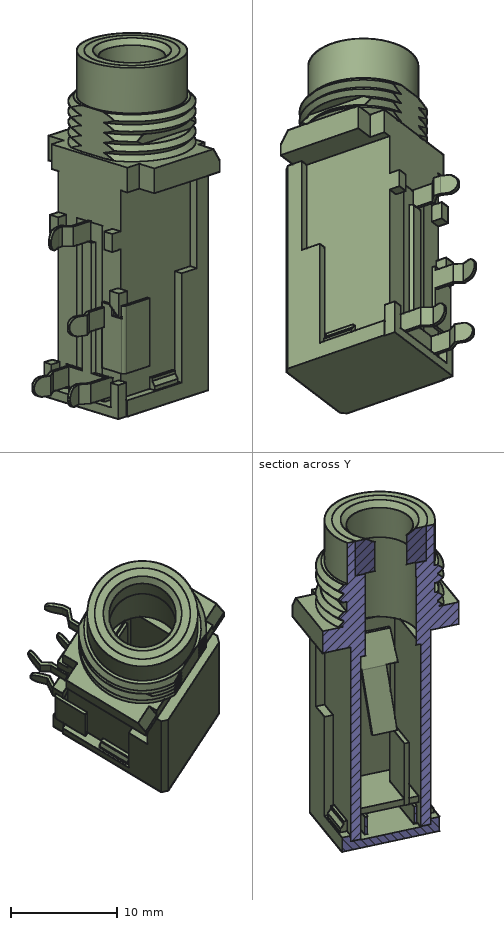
import cadquery as cq


total_height = 33.85
barrel_radius = 5.2
thread_top = 29.35
thread_crest_radius = 6.03
thread_root_radius = 5.52
crest_span = 4.0
pitches = 4
thread_pitch = crest_span / pitches
first_crest_rise = 0.07
thread_flat = 5.3
side_notch_bottom = 26.37
side_notch_top = 27.35
side_notch_half_width = 4.55
bushing_radius = 4.5
bushing_bottom = 30.05
bore_radius = 3.15
bore_chamfer = 0.55
throat_radius = 3.72

flange_bottom = 22.27
flange_top = 24.75
overall_width = 13.9
ear_half_width = overall_width / 2
ear_front = -4.13
ear_chamfer_depth = 0.85
ear_chamfer_height = 1.32

front_face = -5.75
housing_back = 4.7
housing_half_width = 4.1
cover_half_width = 4.98
overall_depth = 16.8
cover_back = 5.7
cover_corner = 0.47
floor_top = 0.95
ledge_top = 1.62
wing_step = 12.5
wing_front_high = 3.65
wing_front_low = 1.6

frame_front = -6.87
frame_half_width = 4.87
frame_top = 3.4
frame_opening = 3.9

chamber_half_width = 3.05
chamber_front = -3.2
chamber_back = 3.55
shelf_thickness = 0.68
shelf_front = -2.25
shelf_top = frame_top + shelf_thickness
chamber_top = 21.0

slot_half_width = 1.7
slot_depth = 0.6
slot_top = 18.2
ridge_front = -6.13
ridge_top = 16.35
ridge_half_width = 0.58
ridge_foot_half_width = 0.8
block_half_width = 2.35

pad_inner = 3.0
pad_bottom = 16.42
stop_inner = 3.75
stop_side_bottom = 10.1
stop_bottom = 11.07
peg_radius = 0.4
peg_x = (frame_opening + chamber_half_width) / 2
peg_z = 2.05
peg_length = 0.2
latch_front = -1.83
latch_back = 1.3
latch_top = 2.78
latch_upper = 2.47
latch_lower = 2.03
latch_lip = 0.35
latch_reach = 0.68

sheet = 0.3
blade_height = 1.95
tip_length = 0.78
tip_y = -10.95
plate_left = 2.4
plate_blade_x = plate_left + sheet / 2
lower_blade_x = 2.5
lower_blade_bottom = 1.4
lower_bends = [(-lower_blade_x, -8.25), (-1.85, -9.27)]
middle_bends = [(0, -8.0), (-0.78, -8.7), (-0.75, -9.3)]
plate_bends = [(plate_blade_x, -8.55), (3.05, -9.38)]
lower_tip_x = -2.37
middle_tip_x = -0.15
plate_tip_x = 2.45
middle_blade_bottom = ridge_top
plate_blade_bottom = 8.55
plate_tip_y = cover_back - overall_depth
plate_front = -6.53
plate_bottom = 4.47
plate_top = 10.97
side_leg_top = 11.2
side_leg_back = -3.05
plate_notch_x = 3.7
plate_notch_bottom = 9.92
middle_spring_half_width = 2.03
middle_spring_bottom = 4.75
middle_spring_top = 20.3

spring_half_width = 2.45
finger_half_width = 1.25
spring_top = 19.63
shoulder_y = 1.35
shoulder_z = 16.92
finger_y = -1.3
finger_z = 11.17

arm_back = 1.35
arm_left = 1.6
arm_right = 2.05
arm_top = 10.15


def box(x0, x1, y0, y1, z0, z1):
    """Box between two limits along each axis."""
    return cq.Workplane("XY").box(x1 - x0, y1 - y0, z1 - z0, centered=False).translate((x0, y0, z0))


def cylinder(radius, z0, z1):
    """Upright cylinder on the plug axis."""
    return cq.Workplane("XY").workplane(offset=z0).circle(radius).extrude(z1 - z0)


def extrude_x(points, x0, x1):
    """Outline of (y, z) points extruded from x0 to x1."""
    return cq.Workplane("YZ").workplane(offset=x0).polyline(points).close().extrude(x1 - x0)


def extrude_y(points, y0, y1):
    """Outline of (x, z) points extruded from y0 to y1."""
    return cq.Workplane("XZ").workplane(offset=-y0).polyline(points).close().extrude(y0 - y1)


def extrude_z(points, z0, z1):
    """Outline of (x, y) points extruded from z0 to z1."""
    return cq.Workplane("XY").workplane(offset=z0).polyline(points).close().extrude(z1 - z0)


def mirrored(body):
    """The body together with its mirror image across X = 0."""
    return body.union(body.mirror("YZ"))


def make_thread():
    """V-shaped rings with two flats, notched on both sides."""
    outline = [(0, flange_top), (thread_root_radius, flange_top)]
    for turn in range(pitches + 1):
        crest = flange_top + first_crest_rise + turn * thread_pitch
        outline.append((thread_crest_radius, crest))
        outline.append((thread_root_radius, min(crest + thread_pitch / 2, thread_top)))
    outline += [(thread_root_radius, thread_top), (0, thread_top)]
    thread = cq.Workplane("XZ").polyline(outline).close().revolve(360, (0, 0, 0), (0, 1, 0))
    reach = thread_crest_radius
    thread = thread.intersect(box(-reach, reach, -thread_flat, thread_flat, flange_top, thread_top))
    notch = box(side_notch_half_width, reach, -reach, reach, side_notch_bottom, side_notch_top)
    return thread.cut(mirrored(notch))


def make_flange():
    """Block on top of the housing with an ear on each side."""
    block = box(-cover_half_width, cover_half_width, front_face, housing_back, flange_bottom, flange_top)
    ear_outline = [
        (ear_front, flange_bottom),
        (housing_back, flange_bottom),
        (housing_back, flange_top - ear_chamfer_height),
        (housing_back - ear_chamfer_depth, flange_top),
        (ear_front, flange_top),
    ]
    return block.union(mirrored(extrude_x(ear_outline, cover_half_width, ear_half_width)))


def make_chamber():
    """Plug chamber, the pocket below its shelf and the openings between them."""
    room = box(-chamber_half_width, chamber_half_width, chamber_front, chamber_back, shelf_top, chamber_top)
    throat = cylinder(throat_radius, chamber_top, bushing_bottom)
    socket = cylinder(bushing_radius, bushing_bottom, total_height)
    pocket = box(-chamber_half_width, chamber_half_width, front_face, chamber_back, floor_top, frame_top)
    front_gap = box(-chamber_half_width, chamber_half_width, chamber_front, shelf_front, frame_top, shelf_top)
    spring_front = chamber_back - sheet
    spring_gap = box(-spring_half_width, spring_half_width, spring_front, chamber_back, frame_top, shelf_top)
    arm_gap = box(arm_left, arm_right, shelf_front, arm_back, frame_top, shelf_top)
    return room.union(arm_gap).union(throat).union(socket).union(pocket).union(front_gap).union(spring_gap)


def make_front_slot():
    """Slot for the tongue of the cover, with a slit behind it for the middle terminal."""
    slot = box(-slot_half_width, slot_half_width, front_face, front_face + slot_depth, frame_top, slot_top)
    slit_top = middle_blade_bottom + blade_height
    slit = box(-sheet / 2, sheet / 2, front_face, chamber_front, middle_blade_bottom, slit_top)
    return slot.union(slit)


def make_front_blocks():
    """Two pads and one stop block that stand out from the front of the housing."""
    pads = mirrored(box(pad_inner, housing_half_width, frame_front, front_face, pad_bottom, slot_top))
    stop_outline = [
        (stop_inner, wing_step),
        (cover_half_width, wing_step),
        (cover_half_width, stop_side_bottom),
        (stop_inner, stop_bottom),
    ]
    return pads.union(extrude_y(stop_outline, frame_front, front_face))


def make_latches():
    """Wedge on each side wall just above the ledge of the cover."""
    outline = [
        (housing_half_width, ledge_top),
        (housing_half_width + latch_reach, ledge_top),
        (housing_half_width + latch_reach, latch_lower),
        (housing_half_width + latch_lip, latch_upper),
        (housing_half_width + latch_lip, latch_top),
        (housing_half_width, latch_top),
    ]
    return mirrored(extrude_y(outline, latch_front, latch_back))


def make_pegs():
    """Short round pegs on the front of the two legs."""
    peg = cq.Workplane("XZ", origin=(peg_x, front_face, peg_z)).circle(peg_radius).extrude(peg_length)
    return mirrored(peg)


def make_housing():
    body = box(-housing_half_width, housing_half_width, front_face, housing_back, floor_top, flange_bottom)
    body = body.union(make_flange())
    body = body.union(make_thread())
    body = body.union(cylinder(barrel_radius, thread_top, total_height))
    body = body.cut(make_chamber())
    body = body.cut(make_front_slot())
    return body.union(make_front_blocks()).union(make_latches()).union(make_pegs())


def make_cover_shell():
    """Back wall with stepped side wings and a base."""
    shell = box(-cover_half_width, cover_half_width, front_face, cover_back, 0, flange_bottom)
    shell = shell.edges("|Z and >Y").chamfer(cover_corner)
    inside = box(-housing_half_width, housing_half_width, front_face, housing_back, floor_top, flange_bottom)
    low_cut = box(-cover_half_width, cover_half_width, front_face, wing_front_low, ledge_top, flange_bottom)
    high_cut = box(-cover_half_width, cover_half_width, front_face, wing_front_high, wing_step, flange_bottom)
    return shell.cut(inside).cut(low_cut).cut(high_cut)


def make_front_frame():
    """Low U-shaped frame across the front of the base."""
    frame = box(-frame_half_width, frame_half_width, frame_front, front_face, 0, frame_top)
    return frame.cut(box(-frame_opening, frame_opening, frame_front, front_face, floor_top, frame_top))


def make_tongue():
    """Block on the base that carries the ridged tongue in the slot of the housing."""
    block = box(-block_half_width, block_half_width, ridge_front, chamber_front, floor_top, frame_top)
    plate_back = front_face + slot_depth
    plate = box(-slot_half_width, slot_half_width, front_face, plate_back, frame_top, slot_top)
    ridge_outline = [
        (-ridge_foot_half_width, front_face),
        (-ridge_half_width, ridge_front),
        (ridge_half_width, ridge_front),
        (ridge_foot_half_width, front_face),
    ]
    ridge = extrude_z(ridge_outline, frame_top, ridge_top)
    slit = box(-sheet / 2, sheet / 2, front_face, plate_back, middle_blade_bottom, slot_top)
    return block.union(plate.cut(slit)).union(ridge)


def make_cover():
    return make_cover_shell().union(make_front_frame()).union(make_tongue())


def make_bushing():
    """Plain sleeve in the top of the barrel with a chamfered mouth."""
    sleeve = cylinder(bushing_radius, bushing_bottom, total_height)
    sleeve = sleeve.cut(cylinder(bore_radius, bushing_bottom, total_height))
    return sleeve.edges("%CIRCLE and >Z").edges(cq.selectors.RadiusNthSelector(0)).chamfer(bore_chamfer)


def side_line(path, distance):
    """Points of the line that runs beside a path at a fixed distance, mitred at the bends."""
    points = [cq.Vector(x, y) for x, y in path]
    up = cq.Vector(0, 0, 1)
    normals = [(end - start).normalized().cross(up) for start, end in zip(points, points[1:])]
    before = normals[:1] + normals
    after = normals + normals[-1:]
    moved = [p + (a + b) * (distance / (1 + a.dot(b))) for p, a, b in zip(points, before, after)]
    return [(p.x, p.y) for p in moved]


def make_blade(path, bottom):
    """Sheet-metal blade along a path of (x, y) points with a rounded tip at the last point."""
    outline = side_line(path, -sheet / 2) + side_line(path, sheet / 2)[::-1]
    strip = extrude_z(outline, bottom, bottom + blade_height)
    start = path[0][1]
    tip = path[-1][1]
    side = (
        cq.Workplane("YZ")
        .workplane(offset=-ear_half_width)
        .moveTo(start, bottom)
        .lineTo(tip + tip_length, bottom)
        .threePointArc((tip, bottom + blade_height / 2), (tip + tip_length, bottom + blade_height))
        .lineTo(start, bottom + blade_height)
        .close()
        .extrude(2 * ear_half_width)
    )
    return strip.intersect(side)


def lower_blade(inner_end):
    """Lower blade on the left side, starting inside at inner_end."""
    path = [(-lower_blade_x, inner_end), *lower_bends, (lower_tip_x, tip_y)]
    return make_blade(path, lower_blade_bottom)


def make_tip_terminal():
    """Lower left blade joined to the sprung finger at the back of the chamber."""
    foot_top = lower_blade_bottom + blade_height
    wall = chamber_back - sheet
    foot_left = -lower_blade_x - sheet / 2
    foot = box(foot_left, spring_half_width, wall, chamber_back, lower_blade_bottom, foot_top)
    riser = box(-spring_half_width, spring_half_width, wall, chamber_back, foot_top, spring_top)
    shoulder_outline = [
        (chamber_back, spring_top),
        (wall, spring_top),
        (shoulder_y, shoulder_z),
        (shoulder_y + sheet, shoulder_z),
    ]
    shoulder = extrude_x(shoulder_outline, -spring_half_width, spring_half_width)
    finger_outline = [
        (shoulder_y, shoulder_z),
        (shoulder_y + sheet, shoulder_z),
        (finger_y + sheet, finger_z),
        (finger_y, finger_z),
    ]
    finger = extrude_x(finger_outline, -finger_half_width, finger_half_width)
    return lower_blade(chamber_back).union(foot).union(riser).union(shoulder).union(finger)


def make_switch_terminal():
    """Lower right blade, the mirror image of the left one, with an upright arm in the chamber."""
    blade = lower_blade(arm_back).mirror("YZ")
    foot_top = lower_blade_bottom + blade_height
    foot = box(arm_left, lower_blade_x + sheet / 2, arm_back - sheet, arm_back, lower_blade_bottom, foot_top)
    arm = box(arm_left, arm_right, shelf_front, arm_back, foot_top, arm_top)
    return blade.union(foot).union(arm)


def make_middle_terminal():
    """Blade through the front wall with a flat spring inside the chamber."""
    path = [(0, chamber_front), *middle_bends, (middle_tip_x, tip_y)]
    blade = make_blade(path, middle_blade_bottom)
    spring = box(
        -middle_spring_half_width,
        middle_spring_half_width,
        chamber_front,
        chamber_front + sheet,
        middle_spring_bottom,
        middle_spring_top,
    )
    return blade.union(spring)


def make_plate_terminal():
    """Blade bent from a plate that wraps around the right front corner."""
    side = cover_half_width + sheet
    plate = box(plate_left, side, plate_front, plate_front + sheet, plate_bottom, plate_top)
    plate = plate.cut(box(plate_notch_x, side, plate_front, front_face, plate_notch_bottom, plate_top))
    leg = box(cover_half_width, side, plate_front, side_leg_back, plate_bottom, side_leg_top)
    wrap = plate.union(leg)
    wrap = wrap.edges("|Z and >X and <Y").fillet(sheet)
    path = [(plate_blade_x, plate_front), *plate_bends, (plate_tip_x, plate_tip_y)]
    return wrap.union(make_blade(path, plate_blade_bottom))


housing = make_housing()
cover = make_cover()
bushing = make_bushing()
tip_terminal = make_tip_terminal()
switch_terminal = make_switch_terminal()
middle_terminal = make_middle_terminal()
plate_terminal = make_plate_terminal()

result = cq.Compound.makeCompound(
    [
        housing.val(),
        cover.val(),
        bushing.val(),
        tip_terminal.val(),
        switch_terminal.val(),
        middle_terminal.val(),
        plate_terminal.val(),
    ]
)